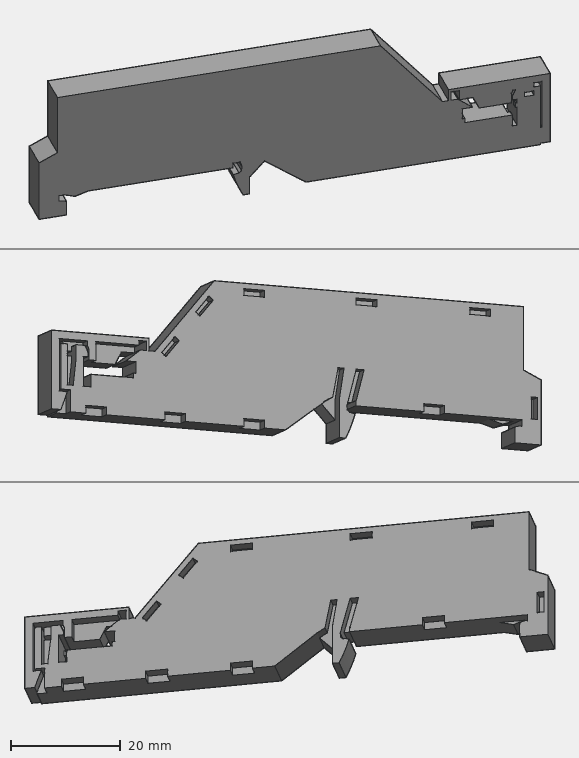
import cadquery as cq
import math

LENGTH = 97.4
HEIGHT = 27.2
THICKNESS = 6.1
RECESS_DEPTH = THICKNESS / 3
FAR_WALL = 1.3
FAR_WALL_START = THICKNESS - FAR_WALL

BASE_Z = 0.6
RAIL_Z = 6.1
DECK_Z = 13.15
ARM_TOP_Z = 15.5
ARM_END_U = 19.4
SLOPE_START_U = 20.6
SLOPE_END_U = 32.3
END_FACE_U = 93.9
SHOULDER_TOP_Z = 15.4
SHOULDER_BASE_Z = 13.8
FOOT_LEFT_U = 92.1
FOOT_Z = 1.8

FOOT_TIP_U = 1.85
FOOT_TIP_Z = 0.9
FOOT_POCKET_U = 3.7
END_BAR_U = 1.6
CEILING_Z = 14.0
STRIP_LEFT_U = 1.85
STRIP_RIGHT_U = 3.1
STRIP_BASE_Z = 4.7
STRIP_GAP = 0.4
STRIP_HOLE_Z = (11.4, 12.3)
POST_LEFT_U = 4.9
POST_RIGHT_U = 6.3
POST_NOSE_Z = 11.1
POCKET_BASE_U = 4.3
POCKET_BASE_Z = 5.6
POST_TAPER_Z = 10.7
NUB_WIDTH = 0.3
NUB_Z = (9.35, 10.3)
HOOK_LEFT_U = 7.4
HOOK_TOP_U = 7.1
NOSE_TOP_U = 6.6
NOSE_TIP_U = 7.2
NOSE_TIP_Z = 12.0
HOOK_STEP_Z = 12.6
HOOK_RIGHT_U = 8.8
ARM_POCKET_END_U = 17.3
ARM_POCKET_BASE_U = 13.5
ARM_POCKET_LIP_U = 14.8
ARM_WINDOW_END_U = 18.9
ARM_WINDOW_TOP_Z = 14.9
LIP_TIP_U = 17.6
CONTACT_SLOT_U = 7.2
CONTACT_STEP_U = 7.8
OPENING_BASE_Z = 7.9
OPENING_TOP_Z = 10.5
OPENING_END_U = 16.8
LEDGE_U = 16.3
LEDGE_Z = 8.8
LIP_BASE_Z = 10.9
LIP_Z = 13.0

CLIP_LEFT_U = 57.3
SLOT_TOP_Z = 13.0
CATCH_TOP_Z = 7.1
CLIP_WEB_CORNER = (CLIP_LEFT_U, 3.6)
RAMP_START_U = 46.6
RAMP_END = (54.4, 6.5)
RIGHT_SLOT_WIDTH = 1.6
RIGHT_SLOT_TOP_U = 60.6
CATCH_LEFT_U = 59.0
CATCH_RIGHT_U = 60.5
CATCH_CURVE = [(58.7, 6.0), (58.8, 5.3), (59.3, 4.9)]
BARB_TIP = (60.4, 4.7)
BARB_BULGE = (59.7, 2.6)
CLIP_END_U = 58.5
LEFT_SLOT_TOP_U = 57.0
LEFT_SLOT_BASE_U = 55.9
LEFT_SLOT_BASE_Z = 7.4
LEFT_SLOT_WIDTH = 1.2

BUMP = [(92.6, RAIL_Z), (90.6, 5.5), (88.05, RAIL_Z)]
UNDERCUT_U = 93.6
UNDERCUT_Z = 5.0
HEEL_U = 93.1
HEEL_Z = 4.7

WINDOW_LENGTH = 4.1
WINDOW_HEIGHT = 1.3
SLOPE_WINDOW_HEIGHT = 1.1
WINDOW_INSET = 1.7
END_WINDOW_INSET = 1.4
END_WINDOW_Z = 8.5
EDGE_NOTCH_HEIGHT = 1.5
TOP_WINDOWS_U = (40.3, 62.6, 85.2)
SLOPE_WINDOWS_ALONG = (2.8, 13.3)
BASE_NOTCHES_U = (8.9, 24.5, TOP_WINDOWS_U[0])
RAIL_NOTCH_U = 76.1

SIDE = cq.Plane(origin=(0, LENGTH / 2, 0), xDir=(0, -1, 0), normal=(-1, 0, 0))


def plate(points, depth):
    """Polygon in (u, z) extruded from the near side face to the given depth."""
    return cq.Workplane(SIDE).polyline(points).close().extrude(-depth)


def block(u_range, z_range, depth):
    """Rectangular block spanning the given u and z ranges."""
    (u0, u1), (z0, z1) = u_range, z_range
    return plate([(u0, z0), (u1, z0), (u1, z1), (u0, z1)], depth)


def window(u, z, angle=0, height=WINDOW_HEIGHT):
    """Shallow rectangular pocket centred at (u, z), its long side turned by angle degrees."""
    return (
        cq.Workplane(SIDE)
        .center(u, z)
        .transformed(rotate=(0, 0, angle))
        .rect(WINDOW_LENGTH, height)
        .extrude(-RECESS_DEPTH)
    )


def housing():
    """Full-thickness outline, including the spring clip and the rail foot."""
    return (
        cq.Workplane(SIDE)
        .moveTo(0, FOOT_TIP_Z)
        .lineTo(0, ARM_TOP_Z)
        .lineTo(ARM_END_U, ARM_TOP_Z)
        .lineTo(ARM_END_U, DECK_Z)
        .lineTo(SLOPE_START_U, DECK_Z)
        .lineTo(SLOPE_END_U, HEIGHT)
        .lineTo(END_FACE_U, HEIGHT)
        .lineTo(END_FACE_U, SHOULDER_TOP_Z)
        .lineTo(LENGTH, SHOULDER_BASE_Z)
        .lineTo(LENGTH, FOOT_Z)
        .lineTo(FOOT_LEFT_U, FOOT_Z)
        .lineTo(FOOT_LEFT_U, HEEL_Z)
        .lineTo(HEEL_U, UNDERCUT_Z)
        .lineTo(UNDERCUT_U, UNDERCUT_Z)
        .lineTo(UNDERCUT_U, RAIL_Z)
        .lineTo(*BUMP[0])
        .lineTo(*BUMP[1])
        .lineTo(*BUMP[2])
        .lineTo(CATCH_RIGHT_U, RAIL_Z)
        .lineTo(CATCH_RIGHT_U, CATCH_TOP_Z)
        .lineTo(CATCH_LEFT_U, CATCH_TOP_Z)
        .lineTo(*CATCH_CURVE[0])
        .lineTo(*CATCH_CURVE[1])
        .lineTo(*CATCH_CURVE[2])
        .lineTo(*BARB_TIP)
        .threePointArc(BARB_BULGE, (CLIP_END_U, 0))
        .lineTo(CLIP_LEFT_U, 0)
        .lineTo(*CLIP_WEB_CORNER)
        .lineTo(*RAMP_END)
        .lineTo(RAMP_START_U, BASE_Z)
        .lineTo(FOOT_TIP_U, BASE_Z)
        .lineTo(FOOT_TIP_U, FOOT_TIP_Z)
        .close()
        .extrude(-THICKNESS)
    )


def head_openings():
    """Openings through the terminal head."""
    conductor = plate(
        [
            (POST_RIGHT_U, POCKET_BASE_Z),
            (CONTACT_SLOT_U, POCKET_BASE_Z),
            (CONTACT_SLOT_U, OPENING_BASE_Z),
            (LEDGE_U, OPENING_BASE_Z),
            (LEDGE_U, LEDGE_Z),
            (OPENING_END_U, LEDGE_Z),
            (OPENING_END_U, LIP_BASE_Z),
            (ARM_POCKET_LIP_U, LIP_BASE_Z),
            (LIP_TIP_U, DECK_Z),
            (ARM_POCKET_END_U, DECK_Z),
            (ARM_POCKET_END_U, LIP_Z),
            (ARM_POCKET_LIP_U, LIP_Z),
            (ARM_POCKET_BASE_U, OPENING_TOP_Z),
            (HOOK_LEFT_U, OPENING_TOP_Z),
            (HOOK_LEFT_U, HOOK_STEP_Z),
            (HOOK_TOP_U, DECK_Z),
            (NOSE_TOP_U, DECK_Z),
            (NOSE_TIP_U, NOSE_TIP_Z),
            (NOSE_TIP_U, POST_NOSE_Z),
            (POST_RIGHT_U, POST_NOSE_Z),
        ],
        THICKNESS,
    )
    nub_u = (POST_RIGHT_U, POST_RIGHT_U + NUB_WIDTH)
    nub = block(nub_u, NUB_Z, THICKNESS).cut(block(nub_u, NUB_Z, FAR_WALL_START))
    conductor = conductor.cut(nub)
    strip_gap = plate(
        [
            (END_BAR_U, STRIP_BASE_Z - STRIP_GAP),
            (STRIP_LEFT_U, STRIP_BASE_Z - STRIP_GAP),
            (STRIP_LEFT_U, DECK_Z),
            (STRIP_RIGHT_U, DECK_Z),
            (STRIP_RIGHT_U, CEILING_Z),
            (END_BAR_U, CEILING_Z),
        ],
        THICKNESS,
    )
    strip_hole = block((STRIP_RIGHT_U, POST_LEFT_U), STRIP_HOLE_Z, THICKNESS)
    arm_window = block((ARM_POCKET_END_U, ARM_WINDOW_END_U), (DECK_Z, ARM_WINDOW_TOP_Z), THICKNESS)
    return [conductor, strip_gap, strip_hole, arm_window]


def head_recesses():
    """Areas of the terminal head where a web is left behind the near side face."""
    post_pocket = plate(
        [
            (STRIP_RIGHT_U, POCKET_BASE_Z),
            (POCKET_BASE_U, POCKET_BASE_Z),
            (POST_LEFT_U, POST_TAPER_Z),
            (POST_LEFT_U, DECK_Z),
            (HOOK_TOP_U, DECK_Z),
            (HOOK_TOP_U, CEILING_Z),
            (STRIP_RIGHT_U, CEILING_Z),
        ],
        RECESS_DEPTH,
    )
    arm_pocket = plate(
        [
            (HOOK_RIGHT_U, OPENING_TOP_Z),
            (ARM_POCKET_BASE_U, OPENING_TOP_Z),
            (ARM_POCKET_LIP_U, LIP_Z),
            (ARM_POCKET_END_U, LIP_Z),
            (ARM_POCKET_END_U, CEILING_Z),
            (HOOK_RIGHT_U, CEILING_Z),
        ],
        RECESS_DEPTH,
    )
    foot_pocket = plate(
        [
            (FOOT_TIP_U, BASE_Z),
            (FOOT_POCKET_U, BASE_Z),
            (FOOT_POCKET_U, STRIP_BASE_Z),
            (END_BAR_U, STRIP_BASE_Z),
            (END_BAR_U, STRIP_BASE_Z - STRIP_GAP),
            (STRIP_RIGHT_U, STRIP_BASE_Z - STRIP_GAP),
            (FOOT_TIP_U, FOOT_TIP_Z),
        ],
        RECESS_DEPTH,
    )
    opening_step = block((CONTACT_SLOT_U, CONTACT_STEP_U), (POCKET_BASE_Z, OPENING_BASE_Z), FAR_WALL_START)
    return [post_pocket, arm_pocket, foot_pocket, opening_step]


def clip_recesses():
    """Slots on both sides of the clip arm and the thinned bump by the rail foot."""
    left_slot = plate(
        [
            (LEFT_SLOT_TOP_U, SLOT_TOP_Z),
            (LEFT_SLOT_TOP_U + LEFT_SLOT_WIDTH, SLOT_TOP_Z),
            (CLIP_LEFT_U, LEFT_SLOT_BASE_Z),
            CLIP_WEB_CORNER,
            RAMP_END,
            (LEFT_SLOT_BASE_U, LEFT_SLOT_BASE_Z),
        ],
        RECESS_DEPTH,
    )
    right_slot = plate(
        [
            (RIGHT_SLOT_TOP_U, SLOT_TOP_Z),
            (RIGHT_SLOT_TOP_U + RIGHT_SLOT_WIDTH, SLOT_TOP_Z),
            (CATCH_LEFT_U + RIGHT_SLOT_WIDTH, CATCH_TOP_Z),
            (CATCH_LEFT_U, CATCH_TOP_Z),
        ],
        RECESS_DEPTH,
    )
    bump = plate(BUMP, RECESS_DEPTH)
    return [left_slot, right_slot, bump]


def window_pockets():
    """Shallow windows near the edges and notches open to the lower edges."""
    pockets = [window(u, HEIGHT - WINDOW_INSET) for u in TOP_WINDOWS_U]
    pockets.append(window(LENGTH - END_WINDOW_INSET, END_WINDOW_Z, 90))

    slope = math.atan2(HEIGHT - DECK_Z, SLOPE_END_U - SLOPE_START_U)
    for along in SLOPE_WINDOWS_ALONG:
        u = SLOPE_START_U + along * math.cos(slope) + WINDOW_INSET * math.sin(slope)
        z = DECK_Z + along * math.sin(slope) - WINDOW_INSET * math.cos(slope)
        pockets.append(window(u, z, math.degrees(slope), SLOPE_WINDOW_HEIGHT))

    edge_notches = [(u, BASE_Z) for u in BASE_NOTCHES_U] + [(RAIL_NOTCH_U, RAIL_Z)]
    for u, edge_z in edge_notches:
        u_range = (u - WINDOW_LENGTH / 2, u + WINDOW_LENGTH / 2)
        pockets.append(block(u_range, (edge_z, edge_z + EDGE_NOTCH_HEIGHT), RECESS_DEPTH))
    return pockets


result = housing()
for cutter in head_openings() + head_recesses() + clip_recesses() + window_pockets():
    result = result.cut(cutter)
result = result.translate((-THICKNESS / 2, 0, 0))